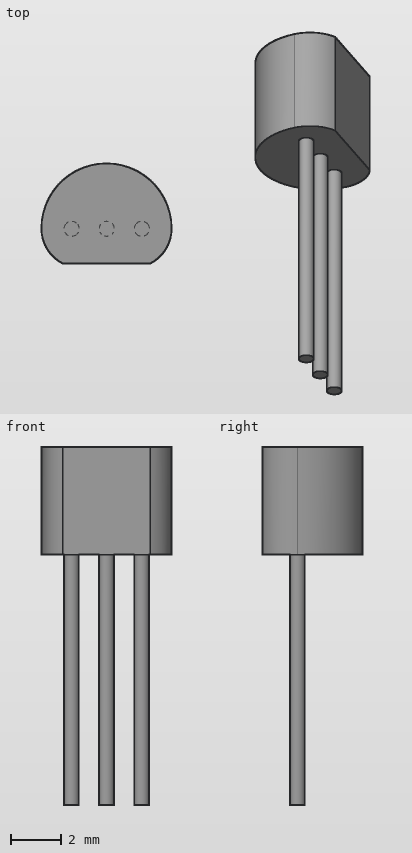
import cadquery as cq

total_height = 14.3
body_height = 4.3
body_radius = 2.6
flat_distance = 1.4
flat_width = 3.49
lead_diameter = 0.6
lead_pitch = 1.4
lead_count = 3

lead_length = total_height - body_height


def make_body():
    """Half-round body whose sides curve in tangentially to a flat front face."""
    half_flat = flat_width / 2
    return (
        cq.Workplane("XY")
        .moveTo(body_radius, 0)
        .threePointArc((0, body_radius), (-body_radius, 0))
        .tangentArcPoint((-half_flat, -flat_distance), relative=False)
        .lineTo(half_flat, -flat_distance)
        .threePointArc(right_corner_midpoint(), (body_radius, 0))
        .close()
        .extrude(body_height)
    )


def right_corner_midpoint():
    """Point halfway in Y along the right corner arc, whose centre lies on Y = 0."""
    inset = body_radius - flat_width / 2
    corner_radius = (inset**2 + flat_distance**2) / (2 * inset)
    y = -flat_distance / 2
    x = body_radius - corner_radius + (corner_radius**2 - y**2) ** 0.5
    return (x, y)


def make_lead(x):
    """Round lead hanging below the body."""
    return cq.Workplane("XY").center(x, 0).circle(lead_diameter / 2).extrude(-lead_length)


result = make_body()
for index in range(lead_count):
    lead_x = (index - (lead_count - 1) / 2) * lead_pitch
    result = result.union(make_lead(lead_x))